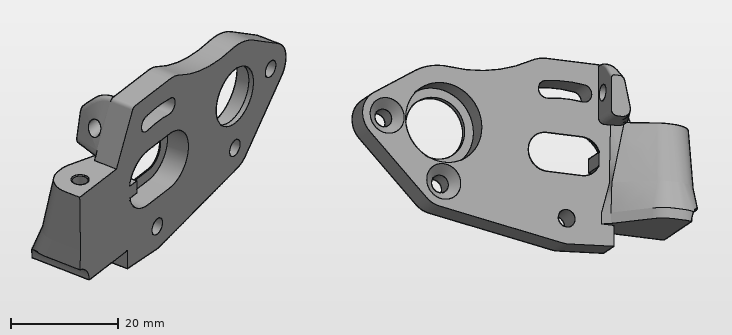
import cadquery as cq
import math


plate_thickness = 5.05
corner_radius = 5.0
bearing_rim_radius = 11.1
hollow_radius = 28.6
shoulder_radius = 6.7
plate_height = 35.7
plate_front = 15.35
plate_front_bottom = 0.65
shoulder_y = 29.05
top_corner_y = 17.3
slanted_edge_y = 11.85
crest_radius = 1.0

bearing_y = 50.0
bearing_z = 20.7
bearing_bore = 12.0
bearing_seat = 15.5
bearing_seat_depth = 4.0
screw_distance = 11.5
screw_hole = 3.4
screw_head = 6.9
pivot_y = 25.0
pivot_z = corner_radius
arc_slot_radius = 25.0
arc_slot_rear = 80.7
arc_slot_front = 97.8
slot_y = 25.5
slot_z = 17.5
slot_spacing = 7.05
slot_width = 7.6
slot_pocket_width = 12.1
slot_lip = 0.25
stop_y = 18.4
stop_bottom = 15.95
stop_top = 18.7

ear_reach = 11.1
ear_back = 18.55
ear_bottom = 24.2
ear_tip_top_y = 16.75
ear_tip_bottom_y = 14.2
ear_crown_radius = 6.0
ear_crown_z = plate_height - ear_crown_radius
crown_turn = 45
ear_crown_front_rounding = 0.9
ear_crown_rear_rounding = 0.6
ear_bottom_front_rounding = 1.65
ear_bottom_rear_rounding = 1.2
ear_hole = 3.1
ear_hole_x = -7.05

boss_radius = 5.0
boss_top = 24.8
boss_waist = 12.7
boss_skirt = 6.8
boss_bottom = 4.7
top_nose = 8.45
top_flat_end = 6.0
top_turn = 21
top_flank_end = 5.85
top_foot_y = 16.1
waist_front = 0.25
waist_nose = 11.1
waist_flat_end = 6.3
waist_turn = 30.5
waist_flank_end = 6.05
waist_foot_y = 16.35
skirt_nose = 13.5
skirt_flat_end = 6.9
skirt_turn = 45
skirt_flank_end = 6.05
skirt_foot_y = 17.95
notch_radius = 4.0
notch_y = -0.9
boss_hole = 3.0
boss_hole_mouth = 3.4
boss_hole_depth = 8.0
boss_hole_x = -3.45


def side_plane(x=0.0):
    """Sketch plane facing -X whose local axes are (-Y, Z)."""
    return cq.Plane(origin=(x, 0, 0), xDir=(0, -1, 0), normal=(-1, 0, 0))


def polar(center, radius, degrees):
    """Point on a circle; the angle runs from +Y towards +Z."""
    angle = math.radians(degrees)
    return (center[0] + radius * math.cos(angle), center[1] + radius * math.sin(angle))


def direction(start, end):
    return math.degrees(math.atan2(end[1] - start[1], end[0] - start[0]))


def flip(point):
    """(Y, Z) to the local axes of a side plane."""
    return (-point[0], point[1])


bearing = (bearing_y, bearing_z)
rear_screw = (bearing_y + screw_distance, bearing_z)
lower_screw = (bearing_y, bearing_z - screw_distance)
pivot = (pivot_y, pivot_z)
shoulder = (shoulder_y, plate_height - shoulder_radius)


def circle_crossing(center_a, radius_a, center_b, radius_b):
    """Upper crossing of two circles; the first one has the larger Y."""
    span = math.dist(center_a, center_b)
    cosine = (radius_a**2 + span**2 - radius_b**2) / (2 * radius_a * span)
    turn = math.degrees(math.acos(cosine))
    return polar(center_a, radius_a, direction(center_a, center_b) % 360 - turn)


def plate_outline():
    """Closed outline of tangent arcs and lines, drawn from the front bottom corner."""
    def add_arc(sketch, center, radius, start, end):
        middle = polar(center, radius, (start + end) / 2)
        return sketch.threePointArc(flip(middle), flip(polar(center, radius, end)))

    def add_corner(sketch, center, radius, start, end):
        sketch = sketch.lineTo(*flip(polar(center, radius, start)))
        return add_arc(sketch, center, radius, start, end)

    front_bottom = (plate_front, plate_front_bottom)
    front_distance = math.dist(pivot, front_bottom)
    front_tangent = direction(pivot, front_bottom) % 360 + math.degrees(
        math.acos(corner_radius / front_distance)
    )
    bottom_normal = direction(pivot, lower_screw) + 270
    lower_normal = direction(lower_screw, rear_screw) + 270
    rim_lean = math.degrees(math.asin((bearing_rim_radius - corner_radius) / screw_distance))
    rear_normal = 90 - rim_lean

    hollow = circle_crossing(
        bearing, bearing_rim_radius + hollow_radius, shoulder, shoulder_radius + hollow_radius
    )
    rim_end = direction(bearing, hollow)
    shoulder_start = direction(shoulder, hollow)

    sketch = cq.Workplane(side_plane()).moveTo(*flip(front_bottom))
    sketch = add_corner(sketch, pivot, corner_radius, front_tangent, bottom_normal)
    sketch = add_corner(sketch, lower_screw, corner_radius, bottom_normal, lower_normal)
    sketch = add_corner(sketch, rear_screw, corner_radius, lower_normal, rear_normal + 360)
    sketch = add_corner(sketch, bearing, bearing_rim_radius, rear_normal, rim_end)
    sketch = add_arc(sketch, hollow, hollow_radius, rim_end - 180, shoulder_start - 180)
    sketch = add_arc(sketch, shoulder, shoulder_radius, shoulder_start, 90)
    return (
        sketch.lineTo(-top_corner_y, plate_height)
        .lineTo(-slanted_edge_y, boss_top)
        .lineTo(-plate_front, boss_top)
        .close()
    )


def make_plate():
    plate = plate_outline().extrude(plate_thickness)
    top_corner = cq.Vector(-plate_thickness / 2, top_corner_y, plate_height)
    return plate.edges(cq.selectors.NearestToPointSelector(top_corner)).fillet(crest_radius)


def make_ear():
    """Block tapering away from the plate, with a crowned top and rounded edges."""
    slant = (top_corner_y - slanted_edge_y) / (plate_height - boss_top)
    root_bottom_y = slanted_edge_y - slant * (boss_top - ear_bottom)

    def section(x, top_y, bottom_y):
        corners = [
            (ear_back, plate_height),
            (top_y, plate_height),
            (bottom_y, ear_bottom),
            (ear_back, ear_bottom),
        ]
        return cq.Wire.makePolygon([cq.Vector(x, y, z) for y, z in corners], close=True)

    root = section(-plate_thickness, top_corner_y, root_bottom_y)
    tip = section(-ear_reach, ear_tip_top_y, ear_tip_bottom_y)
    ear = cq.Workplane(cq.Solid.makeLoft([root, tip], True))

    def crown_point(degrees):
        """Point on the crown arc, measured from its top towards the tip."""
        angle = math.radians(degrees)
        return (
            -plate_thickness - ear_crown_radius * math.sin(angle),
            ear_crown_z + ear_crown_radius * math.cos(angle),
        )

    slope_start_x, slope_start_z = crown_point(crown_turn)
    slope_drop = (slope_start_x + ear_reach) * math.tan(math.radians(crown_turn))
    crown = (
        cq.Workplane("XZ", origin=(0, ear_back, 0))
        .moveTo(-plate_thickness, ear_bottom)
        .lineTo(-plate_thickness, plate_height)
        .threePointArc(crown_point(crown_turn / 2), (slope_start_x, slope_start_z))
        .lineTo(-ear_reach, slope_start_z - slope_drop)
        .lineTo(-ear_reach, ear_bottom)
        .close()
        .extrude(ear_back)
    )
    ear = ear.intersect(crown)
    long_edges = "not (|Y or <X or >X)"
    crown_low = (-ear_reach, 0, ear_crown_z)
    front_of_crown = cq.selectors.BoxSelector(
        crown_low, (0, ear_back - ear_crown_rear_rounding, plate_height)
    )
    ear = ear.edges(long_edges).edges(front_of_crown).fillet(ear_crown_front_rounding)
    ear = ear.faces(">Y").edges(long_edges).edges("not <Z").fillet(ear_crown_rear_rounding)
    ear = ear.faces("<Z").edges(long_edges).edges(">Y").fillet(ear_bottom_rear_rounding)
    return ear.faces("<Z").edges(long_edges).edges("<Y").fillet(ear_bottom_front_rounding)


def boss_section(z, nose, flat_end, turn, flank_end, foot_y, front=0.0):
    """Horizontal section: round front corner, nose, bend and straight flank down to the plate."""
    corner = boss_radius - front
    round_x = corner - nose
    angle = math.radians(turn)

    def bend(a):
        return (
            -nose + boss_radius * (1 - math.cos(a)),
            flat_end + boss_radius * math.sin(a),
        )

    bend_end = bend(angle)
    flank_y = bend_end[1] + (-flank_end - bend_end[0]) / math.tan(angle)
    diagonal = corner * math.sin(math.radians(45))
    return (
        cq.Workplane("XY", origin=(0, 0, z))
        .moveTo(0, front)
        .lineTo(round_x, front)
        .threePointArc((round_x - diagonal, boss_radius - diagonal), (-nose, boss_radius))
        .lineTo(-nose, flat_end)
        .threePointArc(bend(angle / 2), bend_end)
        .lineTo(-flank_end, flank_y)
        .lineTo(-plate_thickness, foot_y)
        .lineTo(0, foot_y)
        .close()
        .wire()
        .val()
    )


def make_boss():
    top_shape = (top_nose, top_flat_end, top_turn, top_flank_end, top_foot_y)
    waist_shape = (waist_nose, waist_flat_end, waist_turn, waist_flank_end, waist_foot_y, waist_front)
    skirt_shape = (skirt_nose, skirt_flat_end, skirt_turn, skirt_flank_end, skirt_foot_y)
    top = boss_section(boss_top, *top_shape)
    waist = boss_section(boss_waist, *waist_shape)
    skirt = boss_section(boss_skirt, *skirt_shape)
    foot = boss_section(boss_bottom, *skirt_shape)
    boss = cq.Workplane(cq.Solid.makeLoft([foot, skirt, waist, top], True))
    notch = (
        cq.Workplane(side_plane())
        .center(-notch_y, boss_bottom)
        .circle(notch_radius)
        .extrude(skirt_nose)
    )
    return boss.cut(notch)


def drill(center, diameter, start, depth):
    """Cylinder along X that starts at `start` and runs `depth` towards +X."""
    y, z = center
    return cq.Workplane(side_plane(start)).center(-y, z).circle(diameter / 2).extrude(-depth)


def countersunk_hole(center):
    y, z = center
    cone = cq.Solid.makeCone(
        screw_head / 2,
        screw_hole / 2,
        (screw_head - screw_hole) / 2,
        pnt=cq.Vector(-plate_thickness, y, z),
        dir=cq.Vector(1, 0, 0),
    )
    return drill(center, screw_hole, -plate_thickness, plate_thickness).union(cq.Workplane(cone))


def bearing_hole():
    bore = drill(bearing, bearing_bore, -plate_thickness, plate_thickness)
    return bore.union(drill(bearing, bearing_seat, -plate_thickness, bearing_seat_depth))


def arc_slot():
    """Slot curved about the pivot hole."""
    inner = arc_slot_radius - screw_hole / 2
    outer = arc_slot_radius + screw_hole / 2
    middle = (arc_slot_rear + arc_slot_front) / 2

    def at(radius, angle):
        return flip(polar(pivot, radius, angle))

    def tip(end_angle, outward_angle):
        """Outermost point of one round end of the slot."""
        end_center = polar(pivot, arc_slot_radius, end_angle)
        return flip(polar(end_center, screw_hole / 2, outward_angle))

    return (
        cq.Workplane(side_plane())
        .moveTo(*at(inner, arc_slot_rear))
        .threePointArc(tip(arc_slot_rear, arc_slot_rear - 90), at(outer, arc_slot_rear))
        .threePointArc(at(outer, middle), at(outer, arc_slot_front))
        .threePointArc(tip(arc_slot_front, arc_slot_front + 90), at(inner, arc_slot_front))
        .threePointArc(at(inner, middle), at(inner, arc_slot_rear))
        .close()
        .extrude(plate_thickness)
    )


def long_slot():
    """Straight slot that is wider behind a thin lip, stopped short at its front end."""
    def oblong(width, start, depth):
        return (
            cq.Workplane(side_plane(start))
            .center(-slot_y, slot_z)
            .slot2D(slot_spacing + width, width)
            .extrude(-depth)
        )

    stop = (
        cq.Workplane("XY", origin=(-plate_thickness, 0, stop_bottom))
        .box(plate_thickness, stop_y, stop_top - stop_bottom, centered=False)
    )
    bore = oblong(slot_width, -plate_thickness, plate_thickness)
    pocket = oblong(slot_pocket_width, slot_lip - plate_thickness, plate_thickness - slot_lip)
    return bore.union(pocket).cut(stop)


def boss_screw_hole():
    mouth_depth = (boss_hole_mouth - boss_hole) / 2
    top = cq.Workplane("XY", origin=(boss_hole_x, boss_radius, boss_top))
    hole = top.circle(boss_hole / 2).extrude(-boss_hole_depth)
    cone = cq.Solid.makeCone(
        boss_hole_mouth / 2,
        boss_hole / 2,
        mouth_depth,
        pnt=cq.Vector(boss_hole_x, boss_radius, boss_top),
        dir=cq.Vector(0, 0, -1),
    )
    return hole.union(cq.Workplane(cone))


def ear_screw_hole():
    return (
        cq.Workplane("XZ", origin=(ear_hole_x, ear_back, ear_crown_z))
        .circle(ear_hole / 2)
        .extrude(ear_back)
    )


plate = make_plate()
for hole in (
    countersunk_hole(rear_screw),
    countersunk_hole(lower_screw),
    bearing_hole(),
    drill(pivot, screw_hole, -plate_thickness, plate_thickness),
    arc_slot(),
    long_slot(),
):
    plate = plate.cut(hole)

boss = make_boss().cut(boss_screw_hole())
ear = make_ear().cut(ear_screw_hole())
result = plate.union(boss).union(ear)